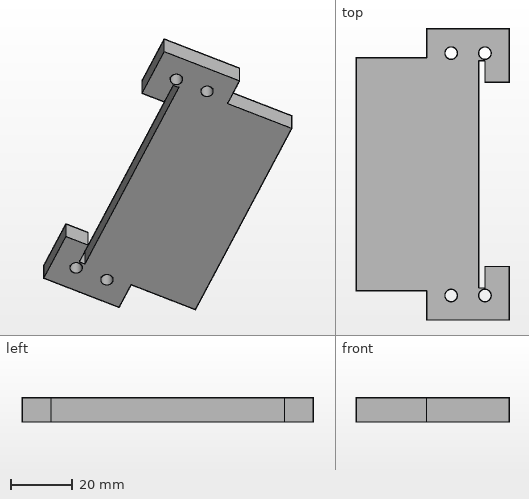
import cadquery as cq

thickness = 8.0
overall_width = 50.0
overall_length = 95.0
body_length = 76.0
lug_width = 27.0
slot_wall_inset = 10.0
hook_width = 8.0
hook_length = 17.5
slot_end_inset = 10.5
hole_diameter = 4.0
hole_end_inset = 8.0
hole_side_insets = (8.0, 19.0)

right = overall_width / 2
left = -right
end = overall_length / 2
lug_left = right - lug_width
hook_left = right - hook_width
slot_wall = right - slot_wall_inset
hook_tip = end - hook_length
slot_bottom = end - slot_end_inset
hole_y = end - hole_end_inset


def make_plate():
    """Plate with stepped left side and two hooks enclosing the right-hand recess."""
    upper_half = [
        (left, body_length / 2),
        (lug_left, body_length / 2),
        (lug_left, end),
        (right, end),
        (right, hook_tip),
        (hook_left, hook_tip),
        (hook_left, slot_bottom),
        (slot_wall, slot_bottom),
    ]
    lower_half = [(x, -y) for x, y in reversed(upper_half)]
    outline = cq.Workplane("XY").polyline(upper_half + lower_half).close()
    return outline.extrude(thickness)


def drill_holes(plate):
    """Two through holes in each end lug."""
    centres = [(right - inset, side * hole_y) for inset in hole_side_insets for side in (-1, 1)]
    return plate.faces(">Z").workplane(origin=(0, 0, thickness)).pushPoints(centres).hole(hole_diameter)


result = drill_holes(make_plate())